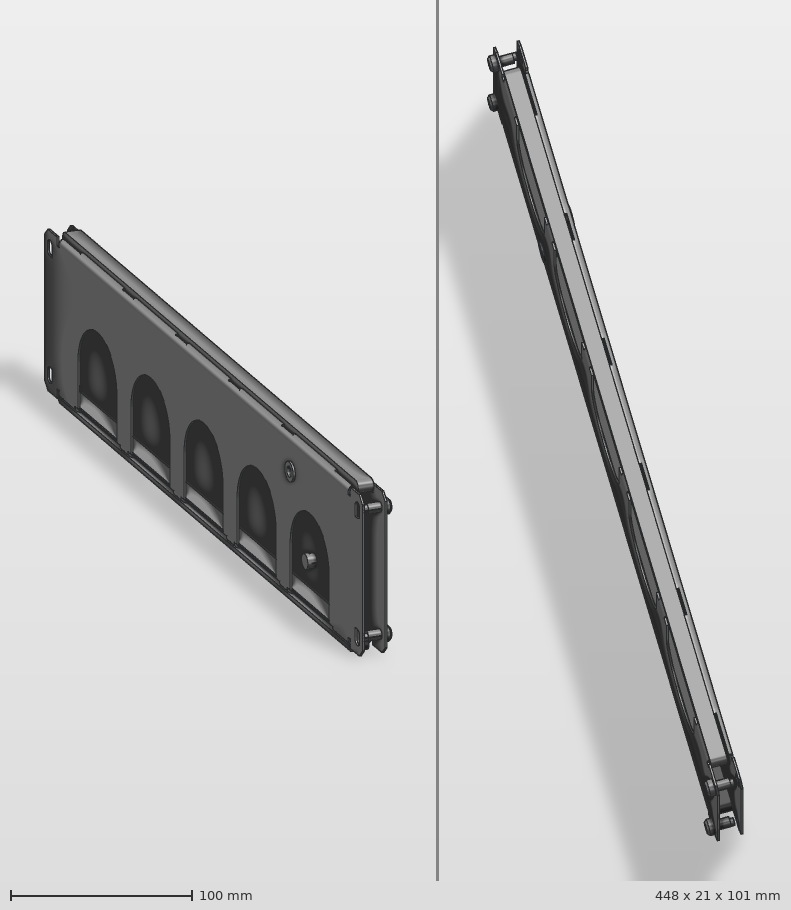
import cadquery as cq
import math

slit_width = 0.5

panel_length = 448.0
panel_height = 95.5
sheet = 1.2
panel_spacing = 15.0
corner_chamfer = 4.5
outer_face = -panel_spacing / 2
inner_face = outer_face + sheet

bend_radius = 4.0
bend_length = 407.5
trimmed_bend_depth = 2.45
tongue_width = 59.0
relief_width = 2.5
relief_depth = 5.5
bend_start = panel_height / 2 - bend_radius

window_count = 5
window_pitch = 75.0
window_width = 55.0
window_top = 11.5
bend_gap_width = 64.0
window_places = [(i - (window_count - 1) / 2) * window_pitch for i in range(window_count)]

bar_height = 7.5
bar_depth = 9.5
bar_length = 416.5
bar_outer = 101.0 / 2

screw_x = 217.0
screw_z = 37.5
screw_hole_width = 6.5
screw_hole_height = 9.5
screw_hole_round = 3.0
head_diameter = 9.5
head_height = 4.5
head_chamfer = 1.5
shank_diameter = 6.0
shank_end = 8.0
tip_diameter = 4.5
tip_length = 2.2

bushing_x = 123.5
bushing_z = 27.5
bushing_flange_diameter = 11.5
bushing_flange_height = 1.5
bushing_diameter = 9.0
bushing_length = 6.5
bushing_bore = 6.3
bore_depth = 6.5
bushing_slit_end = 4.0


def block(x0, x1, y0, y1, z0, z1):
    return cq.Workplane("XY").box(x1 - x0, y1 - y0, z1 - z0, centered=False).translate((x0, y0, z0))


def rod(x, z, diameter, y0, y1):
    return cq.Workplane("XZ", origin=(x, y0, z)).circle(diameter / 2).extrude(y0 - y1)


def turned_over(body):
    return body.rotate((0, 0, 0), (1, 0, 0), 180)


def bend():
    """Quarter-round bend along the upper edge of the front panel."""
    inner_radius = bend_radius - sheet
    centre_y = outer_face + bend_radius
    diagonal = math.sqrt(0.5)
    return (
        cq.Workplane("YZ", origin=(-bend_length / 2, 0, 0))
        .moveTo(outer_face, bend_start)
        .threePointArc(
            (centre_y - bend_radius * diagonal, bend_start + bend_radius * diagonal),
            (centre_y, bend_start + bend_radius),
        )
        .lineTo(centre_y, bend_start + inner_radius)
        .threePointArc(
            (centre_y - inner_radius * diagonal, bend_start + inner_radius * diagonal),
            (inner_face, bend_start),
        )
        .close()
        .extrude(bend_length)
    )


def upper_bend():
    """Bend cut back everywhere but at one full-depth tongue above each window."""
    tongues = bend()
    trimmed_end = outer_face + trimmed_bend_depth
    edges = [-panel_length / 2]
    for x in window_places:
        edges += [x - tongue_width / 2, x + tongue_width / 2]
    edges.append(panel_length / 2)
    for start, end in zip(edges[0::2], edges[1::2]):
        tongues = tongues.cut(block(start, end, trimmed_end, 0, bend_start, bar_outer))
    return tongues


def lower_bend():
    """Bend interrupted below each window."""
    lip = bend().mirror("XY")
    for x in window_places:
        half = bend_gap_width / 2
        lip = lip.cut(block(x - half, x + half, outer_face, 0, -bar_outer, -bend_start))
    return lip


def window(x):
    radius = window_width / 2
    spring = window_top - radius
    return (
        cq.Workplane("XZ", origin=(0, inner_face, 0))
        .moveTo(x - radius, -bend_start)
        .lineTo(x - radius, spring)
        .threePointArc((x, window_top), (x + radius, spring))
        .lineTo(x + radius, -bend_start)
        .close()
        .extrude(sheet)
    )


def clearance_hole():
    """Slot in the upper right corner, square only at the corner nearest the panel centre."""
    slot = block(
        screw_x - screw_hole_width / 2, screw_x + screw_hole_width / 2, outer_face, inner_face,
        screw_z - screw_hole_height / 2, screw_z + screw_hole_height / 2,
    )
    return slot.edges("|Y and (>X or >Z)").fillet(screw_hole_round)


def panel(hole):
    """Front panel, with the given screw hole repeated at its four corners."""
    sheet_body = (
        block(-panel_length / 2, panel_length / 2, outer_face, inner_face, -panel_height / 2, panel_height / 2)
        .edges("|Y").chamfer(corner_chamfer)
    )
    relief_end = bend_length / 2 + relief_width
    relief_bottom = panel_height / 2 - relief_depth
    bend_room = block(-relief_end, relief_end, outer_face, inner_face, bend_start, bar_outer)
    relief = block(bend_length / 2, relief_end, outer_face, inner_face, relief_bottom, bar_outer)
    sheet_body = sheet_body.cut(bend_room).cut(bend_room.mirror("XY"))
    for cutter in (relief, hole):
        for pair in (cutter, cutter.mirror("YZ")):
            sheet_body = sheet_body.cut(pair).cut(pair.mirror("XY"))
    for x in window_places:
        sheet_body = sheet_body.cut(window(x))
    bushing_hole = rod(bushing_x, bushing_z, bushing_diameter, outer_face, inner_face)
    return sheet_body.union(upper_bend()).union(lower_bend()).cut(bushing_hole)


def bar():
    """Lower bar, against the front panel and grooved for its lower bend."""
    body = (
        cq.Workplane("XZ", origin=(0, inner_face + bar_depth, -bar_outer + bar_height / 2))
        .slot2D(bar_length, bar_height)
        .extrude(bar_depth)
    )
    groove = block(
        -bend_length / 2, bend_length / 2, inner_face, outer_face + bend_radius, -panel_height / 2, -bend_start
    )
    return body.cut(groove)


def bushing():
    """Flanged bushing of the front panel, slit four ways behind the sheet."""
    flange_face = outer_face - bushing_flange_height
    flange = rod(bushing_x, bushing_z, bushing_flange_diameter, flange_face, outer_face)
    barrel = rod(bushing_x, bushing_z, bushing_diameter, outer_face, outer_face + bushing_length)
    bore = rod(bushing_x, bushing_z, bushing_bore, flange_face, flange_face + bore_depth)
    body = flange.union(barrel).cut(bore)
    slit = block(
        -bushing_diameter, bushing_diameter, inner_face, outer_face + bushing_slit_end, -slit_width / 2, slit_width / 2
    )
    for angle in (0, 90):
        turned = slit.rotate((0, 0, 0), (0, 1, 0), angle)
        body = body.cut(turned.translate((bushing_x, 0, bushing_z)))
    return body


def screw(side_x, side_z):
    """Split screw at one corner; its tip sits off centre toward that corner of the panel."""
    x = side_x * screw_x
    z = side_z * screw_z
    back = -outer_face
    shoulder = -inner_face - shank_end
    offset = (shank_diameter - tip_diameter) / 2 * math.sqrt(0.5)
    head = rod(x, z, head_diameter, back, back + head_height).faces(">Y").chamfer(head_chamfer)
    shank = rod(x, z, shank_diameter, shoulder, back)
    tip = rod(x + side_x * offset, z + side_z * offset, tip_diameter, shoulder - tip_length, shoulder)
    slit = block(
        x - shank_diameter, x + shank_diameter, shoulder - tip_length, -inner_face,
        z - slit_width / 2, z + slit_width / 2,
    )
    return head.union(shank).union(tip).cut(slit)


front_panel = panel(clearance_hole())
back_panel = turned_over(panel(rod(screw_x, screw_z, shank_diameter, outer_face, inner_face)))
lower_bar = bar()
upper_bar = turned_over(lower_bar)
front_bushing = bushing()
back_bushing = turned_over(front_bushing)
screws = [screw(side_x, side_z) for side_x in (-1, 1) for side_z in (-1, 1)]

result = cq.Compound.makeCompound(
    [body.val() for body in (front_panel, back_panel, lower_bar, upper_bar, front_bushing, back_bushing, *screws)]
)